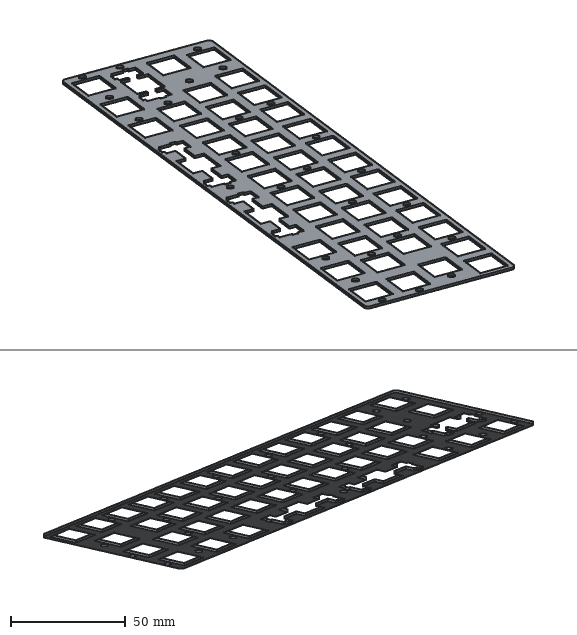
import cadquery as cq

UNIT = 19.05
ROWS = 4
ROW_LENGTH = 13.5
PLATE_LENGTH = ROW_LENGTH * UNIT
PLATE_WIDTH = ROWS * UNIT
PLATE_THICKNESS = 1.18
CORNER_RADIUS = 2.1

SWITCH_SIZE = 14.0
SCREW_DIAMETER = 3.2

KEY_CENTRES = [
    [0.75] + [2.0 + i for i in range(12)],
    [0.625] + [2.25 + i for i in range(10)] + [12.625],
    [1.125] + [2.75 + i for i in range(10)] + [12.875],
    [0.625, 1.875, 3.125, 5.25, 8.25, 10.375, 11.625, 12.875],
]

SCREW_CENTRES = [
    [0.25, 1.375] + [3.5 + 2 * i for i in range(5)],
    [1.54, 3.75, 6.75, 8.75, 10.75, 13.125],
    [0.125, 2.25, 5.25, 7.25, 11.25, 13.375],
    [0.125, 1.3125, 2.625, 6.65, 10.875, 12.1875, 13.375],
]

SHIFT_STABILISER_OFFSET = 11.9
SPACE_STABILISER_OFFSET = UNIT
STABILISED_KEYS = [
    (2, 1.125, SHIFT_STABILISER_OFFSET),
    (3, 5.25, SPACE_STABILISER_OFFSET),
    (3, 8.25, SPACE_STABILISER_OFFSET),
]

HOUSING_WIDTH = 6.75
HOUSING_TOP = 5.53
HOUSING_BOTTOM = -6.77
FOOT_WIDTH = 3.3
FOOT_BOTTOM = -7.97
SIDE_NOTCH_REACH = 4.2
SIDE_NOTCH_TOP = 2.3
SIDE_NOTCH_BOTTOM = -0.5
WIRE_CHANNEL_WIDTH = 4.6


def grid_point(row, column):
    """Point on a row's centreline, with the plate centred on the origin."""
    return (column * UNIT - PLATE_LENGTH / 2, PLATE_WIDTH / 2 - (row + 0.5) * UNIT)


def grid_points(columns_by_row):
    return [grid_point(row, column) for row, columns in enumerate(columns_by_row) for column in columns]


def cutter(x_min, x_max, y_min, y_max):
    """Rectangular block through the full plate thickness."""
    return (
        cq.Workplane("XY")
        .center((x_min + x_max) / 2, (y_min + y_max) / 2)
        .rect(x_max - x_min, y_max - y_min)
        .extrude(PLATE_THICKNESS)
    )


def stabiliser_cutter(offset):
    """Two stabiliser housings joined by a wire channel, about the key centre."""
    body = cutter(-offset, offset, -WIRE_CHANNEL_WIDTH / 2, WIRE_CHANNEL_WIDTH / 2)
    for side in (-1, 1):
        x = side * offset
        notch_ends = sorted((x, x + side * SIDE_NOTCH_REACH))
        body = body.union(cutter(x - HOUSING_WIDTH / 2, x + HOUSING_WIDTH / 2, HOUSING_BOTTOM, HOUSING_TOP))
        body = body.union(cutter(x - FOOT_WIDTH / 2, x + FOOT_WIDTH / 2, FOOT_BOTTOM, 0))
        body = body.union(cutter(*notch_ends, SIDE_NOTCH_BOTTOM, SIDE_NOTCH_TOP))
    return body


def blank_plate():
    plate = cq.Workplane("XY").rect(PLATE_LENGTH, PLATE_WIDTH).extrude(PLATE_THICKNESS)
    return plate.edges("|Z").fillet(CORNER_RADIUS)


def switch_cutters():
    return (
        cq.Workplane("XY")
        .pushPoints(grid_points(KEY_CENTRES))
        .rect(SWITCH_SIZE, SWITCH_SIZE)
        .extrude(PLATE_THICKNESS)
    )


def screw_cutters():
    return (
        cq.Workplane("XY")
        .pushPoints(grid_points(SCREW_CENTRES))
        .circle(SCREW_DIAMETER / 2)
        .extrude(PLATE_THICKNESS)
    )


result = blank_plate().cut(switch_cutters()).cut(screw_cutters())
for key_row, key_column, stabiliser_offset in STABILISED_KEYS:
    key_x, key_y = grid_point(key_row, key_column)
    result = result.cut(stabiliser_cutter(stabiliser_offset).translate((key_x, key_y, 0)))